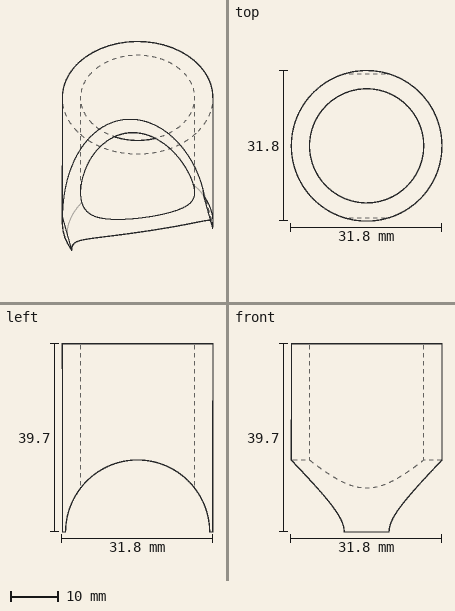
import cadquery as cq

outer_diameter = 31.75
bore_diameter = 24.0
saddle_diameter = 30.3
wall_above_saddle = 24.5

saddle_radius = saddle_diameter / 2
height = saddle_radius + wall_above_saddle


def make_tube():
    """Straight tube standing on Z = 0."""
    return (
        cq.Workplane("XY")
        .circle(outer_diameter / 2)
        .circle(bore_diameter / 2)
        .extrude(height)
    )


def make_saddle_cutter():
    """Cylinder along X, centred on the bottom plane of the tube."""
    return (
        cq.Workplane("YZ")
        .circle(saddle_radius)
        .extrude(outer_diameter, both=True)
    )


result = make_tube().cut(make_saddle_cutter())